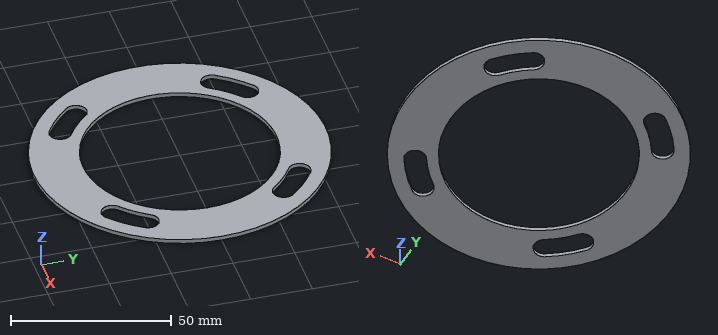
import cadquery as cq
import math

outer_diameter = 94.5
bore_diameter = 62.5
thickness = 1.5

slot_count = 4
slot_width = 7.0
slot_circle_radius = 38.6
first_slot_angle = 50.0
slot_sweep = 18.0


def polar_point(radius, angle):
    """Point at a radius and an angle in degrees from +X."""
    return (radius * math.cos(math.radians(angle)), radius * math.sin(math.radians(angle)))


def make_ring():
    """Flat ring resting on the XY plane."""
    return (
        cq.Workplane("XY")
        .circle(outer_diameter / 2)
        .circle(bore_diameter / 2)
        .extrude(thickness)
    )


def make_slot_cutter(middle_angle):
    """Arc-shaped slot with round ends, as tall as the ring."""
    start_angle = middle_angle - slot_sweep / 2
    end_angle = middle_angle + slot_sweep / 2
    end_radius = slot_width / 2
    inner_radius = slot_circle_radius - end_radius
    outer_radius = slot_circle_radius + end_radius

    start_center = polar_point(slot_circle_radius, start_angle)
    end_center = polar_point(slot_circle_radius, end_angle)
    start_offset = polar_point(end_radius, start_angle - 90)
    end_offset = polar_point(end_radius, end_angle + 90)
    start_tip = (start_center[0] + start_offset[0], start_center[1] + start_offset[1])
    end_tip = (end_center[0] + end_offset[0], end_center[1] + end_offset[1])

    return (
        cq.Workplane("XY")
        .moveTo(*polar_point(outer_radius, start_angle))
        .threePointArc(polar_point(outer_radius, middle_angle), polar_point(outer_radius, end_angle))
        .threePointArc(end_tip, polar_point(inner_radius, end_angle))
        .threePointArc(polar_point(inner_radius, middle_angle), polar_point(inner_radius, start_angle))
        .threePointArc(start_tip, polar_point(outer_radius, start_angle))
        .close()
        .extrude(thickness)
    )


result = make_ring()
for slot_index in range(slot_count):
    slot_angle = first_slot_angle + slot_index * 360 / slot_count
    result = result.cut(make_slot_cutter(slot_angle))